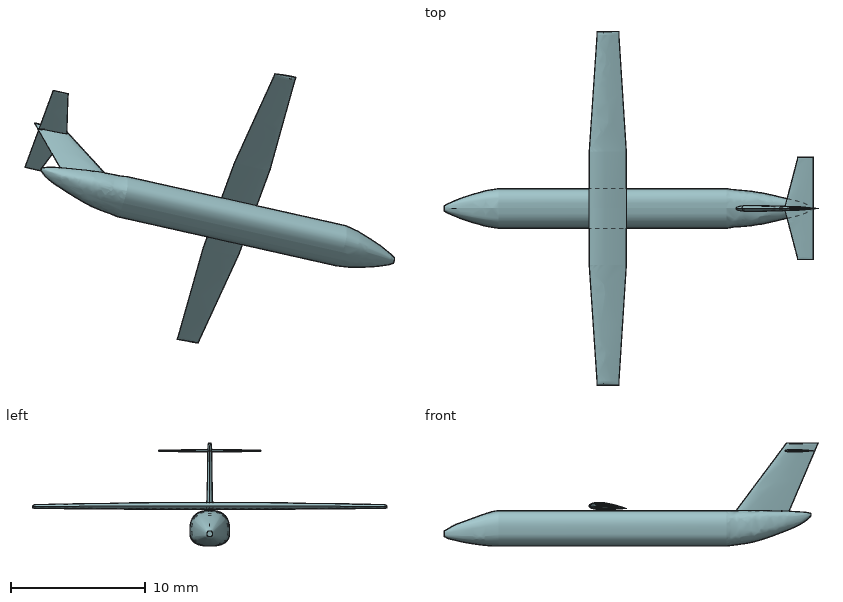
import cadquery as cq
import math


OVERALL_HEIGHT = 7.66

BODY_TOP = 1.55
BODY_BOTTOM = -1.09
BODY_HALF_WIDTH = 1.48
WIDEST_FRACTION = -BODY_BOTTOM / (BODY_TOP - BODY_BOTTOM)
BODY_FULLNESS = 2.6
POINTS_PER_QUARTER = 8
BARREL_START = 4.05
BARREL_END = 20.95
FULL_SECTION = (BODY_TOP, BODY_BOTTOM, BODY_HALF_WIDTH)

NOSE_CAP = [
    (0.0, (0.04, -0.38, 0.20)),
    (0.30, (0.21, -0.54, 0.37)),
]
NOSE = [
    NOSE_CAP[-1],
    (1.34, (0.71, -0.79, 0.80)),
    (2.43, (1.10, -0.97, 1.15)),
    (3.35, (1.42, -1.07, 1.385)),
    (BARREL_START, FULL_SECTION),
]
BARREL = [
    (BARREL_START, FULL_SECTION),
    (BARREL_END, FULL_SECTION),
]
TAIL_CONE = [
    (BARREL_END, FULL_SECTION),
    (22.68, (1.55, -0.84, 1.295)),
    (24.18, (1.54, -0.40, 1.03)),
    (25.69, (1.50, 0.18, 0.67)),
    (26.69, (1.44, 0.70, 0.38)),
    (27.20, (1.34, 1.17, 0.10)),
]

AIRFOIL_POINTS = 14
CAMBER_PEAK = 0.4
CAP_STEPS = (0.5, 0.8, 0.97)

WING_SPAN = 26.24
WING_CAP = 0.27
WING_KINK_Y = 4.22
WING_LEADING_X = 10.74
WING_CHORD = 2.77
WING_TIP_LEADING_X = 11.32
WING_TIP_CHORD = 1.64
WING_THICKNESS = 0.195
WING_CAMBER = 0.02
WING_INCIDENCE = 4.0
WING_MID_Z = 1.795

FIN_ROOT_Z = 1.48
FIN_TOP_Z = BODY_BOTTOM + OVERALL_HEIGHT
FIN_CAP = 0.19
FIN_ROOT_LEADING_X = 21.58
FIN_ROOT_CHORD = 3.98
FIN_TOP_TRAILING_X = 27.73
FIN_TOP_CHORD = 2.35
FIN_THICKNESS = 0.12

STABILIZER_SPAN = 7.6
STABILIZER_CAP = 0.17
STABILIZER_Z = 5.98
STABILIZER_TRAILING_X = 27.37
STABILIZER_CHORD = 2.15
STABILIZER_TIP_CHORD = 1.20
STABILIZER_THICKNESS = 0.10


def body_wire(x, section):
    """Superellipse-like cross-section of the fuselage at x, as two halves meeting at Y = 0."""
    top, bottom, half_width = section
    widest_z = bottom + WIDEST_FRACTION * (top - bottom)
    power = 2 / BODY_FULLNESS

    halves = []
    for side in (1, -1):
        points = []
        for i in range(2 * POINTS_PER_QUARTER + 1):
            angle = math.pi / 2 * (1 - i / POINTS_PER_QUARTER)
            c = math.cos(angle)
            s = math.sin(angle)
            height = top - widest_z if s > 0 else widest_z - bottom
            y = side * half_width * abs(c) ** power
            points.append(cq.Vector(x, y, widest_z + height * math.copysign(abs(s) ** power, s)))
        across = cq.Vector(0, side, 0)
        halves.append(cq.Edge.makeSpline(points, tangents=[across, -across]))
    return cq.Wire.assembleEdges(halves)


def body_segment(stations, ruled=False):
    wires = [body_wire(x, section) for x, section in stations]
    return cq.Workplane(cq.Solid.makeLoft(wires, ruled))


def make_fuselage():
    fuselage = body_segment(BARREL, ruled=True)
    fuselage = fuselage.union(body_segment(NOSE))
    fuselage = fuselage.union(body_segment(NOSE_CAP, ruled=True))
    return fuselage.union(body_segment(TAIL_CONE))


def airfoil_side(side, thickness, camber):
    """Points (along, up) of one side of a unit-chord airfoil, from nose to sharp trailing edge."""
    points = []
    for i in range(AIRFOIL_POINTS + 1):
        t = (1 - math.cos(math.pi * i / AIRFOIL_POINTS)) / 2
        half = 5 * thickness * (
            0.2969 * math.sqrt(t) - 0.1260 * t - 0.3516 * t**2 + 0.2843 * t**3 - 0.1036 * t**4
        )
        reach = CAMBER_PEAK if t < CAMBER_PEAK else 1 - CAMBER_PEAK
        mean = camber * (1 - ((t - CAMBER_PEAK) / reach) ** 2)
        points.append((t, mean + side * half))
    points[-1] = (1.0, 0.0)
    return points


def airfoil_wire(place, leading_x, chord, thickness, camber=0.0, incidence=0.0):
    """Airfoil outline turned about mid-chord; place(x, up) puts its points in space."""
    tilt = math.radians(incidence)
    edges = []
    for side in (1, -1):
        points = []
        for along, up in airfoil_side(side, thickness, camber):
            dx = chord * (along - 0.5)
            dz = chord * up
            x = leading_x + chord / 2 + dx * math.cos(tilt) + dz * math.sin(tilt)
            points.append(place(x, dz * math.cos(tilt) - dx * math.sin(tilt)))
        edges.append(cq.Edge.makeSpline(points))
    return cq.Wire.assembleEdges(edges)


def cap_stations(cap_length):
    """Distances past the tip, up to cap_length, and the share of thickness left by a quarter ellipse."""
    return [(cap_length * u / CAP_STEPS[-1], math.sqrt(1 - u**2)) for u in CAP_STEPS]


def capped_stations(stations, cap_length):
    """Stations (reach, leading x, chord, share of thickness), with the tip cap added."""
    tip_reach, leading_x, chord = stations[-1]
    full = [(*station, 1.0) for station in stations]
    return full + [(tip_reach + d, leading_x, chord, share) for d, share in cap_stations(cap_length)]


def spanwise_surface(stations, cap_length, mid_z, thickness, camber=0.0, incidence=0.0):
    """Surface symmetric about Y = 0, lofted straight between its stations."""
    half = capped_stations(stations, cap_length)
    mirrored = [(-y, x, chord, share) for y, x, chord, share in reversed(half)]
    wires = []
    for y, leading_x, chord, share in mirrored[:-1] + half:
        wires.append(airfoil_wire(
            lambda x, up, y=y: cq.Vector(x, y, mid_z + up),
            leading_x, chord, thickness * share, camber, incidence,
        ))
    return cq.Workplane(cq.Solid.makeLoft(wires, True))


def make_wing():
    tip_y = WING_SPAN / 2 - WING_CAP
    stations = [
        (0.0, WING_LEADING_X, WING_CHORD),
        (WING_KINK_Y, WING_LEADING_X, WING_CHORD),
        (tip_y, WING_TIP_LEADING_X, WING_TIP_CHORD),
    ]
    return spanwise_surface(stations, WING_CAP, WING_MID_Z, WING_THICKNESS, WING_CAMBER, WING_INCIDENCE)


def make_stabilizer():
    tip_y = STABILIZER_SPAN / 2 - STABILIZER_CAP
    stations = [
        (0.0, STABILIZER_TRAILING_X - STABILIZER_CHORD, STABILIZER_CHORD),
        (tip_y, STABILIZER_TRAILING_X - STABILIZER_TIP_CHORD, STABILIZER_TIP_CHORD),
    ]
    return spanwise_surface(stations, STABILIZER_CAP, STABILIZER_Z, STABILIZER_THICKNESS)


def make_fin():
    tip_z = FIN_TOP_Z - FIN_CAP
    top_leading_x = FIN_TOP_TRAILING_X - FIN_TOP_CHORD

    def fin_wire(z, share):
        rise = (z - FIN_ROOT_Z) / (FIN_TOP_Z - FIN_ROOT_Z)
        leading_x = FIN_ROOT_LEADING_X + rise * (top_leading_x - FIN_ROOT_LEADING_X)
        chord = FIN_ROOT_CHORD + rise * (FIN_TOP_CHORD - FIN_ROOT_CHORD)
        return airfoil_wire(lambda x, side: cq.Vector(x, side, z), leading_x, chord, FIN_THICKNESS * share)

    wires = [fin_wire(FIN_ROOT_Z, 1.0), fin_wire(tip_z, 1.0)]
    for distance, share in cap_stations(FIN_CAP):
        wires.append(fin_wire(tip_z + distance, share))
    return cq.Workplane(cq.Solid.makeLoft(wires, True))


fuselage = make_fuselage()
wing = make_wing()

tail = make_fin().union(make_stabilizer()).cut(fuselage)

result = cq.Compound.makeCompound([fuselage.solids().val(), wing.val(), tail.solids().val()])